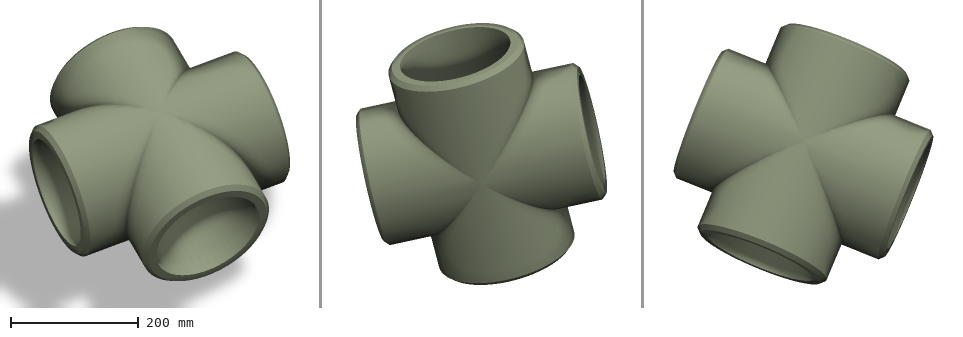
import cadquery as cq

run_length = 356.0
outer_diameter = 219.0
bore_diameter = 178.0
end_chamfer = 7.0


def centred_cylinder(plane, diameter, length):
    """Cylinder centred on the origin, along the normal of the plane."""
    return cq.Workplane(plane).circle(diameter / 2).extrude(length / 2, both=True)


def outer_run(plane):
    """Solid run with a chamfer around both ends."""
    return centred_cylinder(plane, outer_diameter, run_length).edges("%CIRCLE").chamfer(end_chamfer)


def bore(plane):
    """Through bore of one run."""
    return centred_cylinder(plane, bore_diameter, run_length)


body = outer_run("YZ").union(outer_run("XZ"))
result = body.cut(bore("YZ")).cut(bore("XZ"))